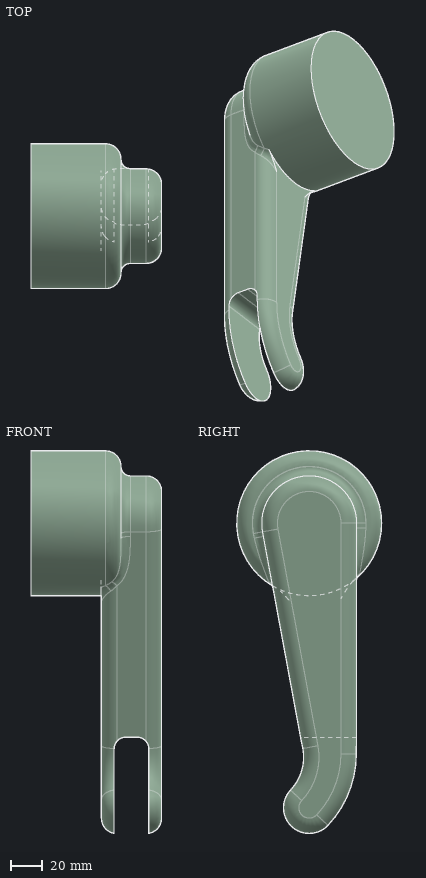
import cadquery as cq
import math

drum_radius = 46.0
drum_length = 57.3
edge_radius = 10.0

arm_back = 44.7
arm_front = 83.0
head_radius = 30.0
neck_radius = 5.8

nose_radius = 16.5
outer_bend_z = -146.2
inner_bend_z = -148.3
inner_bend_radius = 30.0
nose_z = -180.5

slot_width = 21.9
slot_height = 97.0
slot_top_z = -135.7
slot_corner_radius = 7.3

outer_drop = outer_bend_z - nose_z
outer_bend_radius = (head_radius**2 + outer_drop**2 - nose_radius**2) / (2 * (head_radius - nose_radius))
outer_bend_y = head_radius - outer_bend_radius

inner_drop = inner_bend_z - nose_z
inner_bend_y = -math.sqrt((inner_bend_radius + nose_radius) ** 2 - inner_drop**2)


def point_on_circle(center_y, center_z, radius, angle):
    """Point in the YZ plane, with the angle measured from +Y toward +Z."""
    return (center_y + radius * math.cos(angle), center_z + radius * math.sin(angle))


def make_drum():
    drum = cq.Workplane("YZ").circle(drum_radius).extrude(drum_length)
    return drum.faces(">X").edges().fillet(edge_radius)


def make_arm():
    outer_angle = math.atan2(-outer_drop, -outer_bend_y)
    inner_angle = math.atan2(-inner_drop, -inner_bend_y)
    center_angle = math.atan2(inner_bend_z, inner_bend_y)
    center_distance = math.hypot(inner_bend_y, inner_bend_z)
    tangent_angle = center_angle - math.acos((head_radius + inner_bend_radius) / center_distance)
    slope_angle = tangent_angle + math.pi

    outline = (
        cq.Workplane("YZ", origin=(arm_back, 0, 0))
        .moveTo(head_radius, 0)
        .lineTo(head_radius, outer_bend_z)
        .threePointArc(
            point_on_circle(outer_bend_y, outer_bend_z, outer_bend_radius, outer_angle / 2),
            point_on_circle(outer_bend_y, outer_bend_z, outer_bend_radius, outer_angle),
        )
        .threePointArc(
            point_on_circle(0, nose_z, nose_radius, -math.pi / 2),
            point_on_circle(0, nose_z, nose_radius, inner_angle + math.pi),
        )
        .threePointArc(
            point_on_circle(inner_bend_y, inner_bend_z, inner_bend_radius, (inner_angle + slope_angle) / 2),
            point_on_circle(inner_bend_y, inner_bend_z, inner_bend_radius, slope_angle),
        )
        .lineTo(*point_on_circle(0, 0, head_radius, tangent_angle))
        .threePointArc(
            point_on_circle(0, 0, head_radius, (tangent_angle + 2 * math.pi) / 2),
            (head_radius, 0),
        )
        .close()
    )
    arm = outline.extrude(arm_front - arm_back)
    return arm.faces("<X or >X").edges().fillet(edge_radius)


def blend_neck(body):
    """Round the inner corner where the arm leaves the drum; the blend follows the tangent edges.

    The corner between the drum and the back of the arm stays sharp, so the blend is trimmed there.
    """
    head_top = cq.selectors.NearestToPointSelector((drum_length, 0, head_radius))
    blended = body.edges(head_top).fillet(neck_radius)
    trim = cq.Workplane("YZ").circle(drum_radius + 2 * neck_radius).circle(drum_radius).extrude(arm_back)
    return blended.cut(trim)


def make_slot():
    slot = (
        cq.Workplane("XY", origin=((arm_back + arm_front) / 2, 0, slot_top_z - slot_height))
        .box(slot_width, 4 * head_radius, slot_height, centered=(True, True, False))
    )
    return slot.faces(">Z").edges("|Y").fillet(slot_corner_radius)


body = make_drum().union(make_arm())
body = blend_neck(body)
result = body.cut(make_slot())